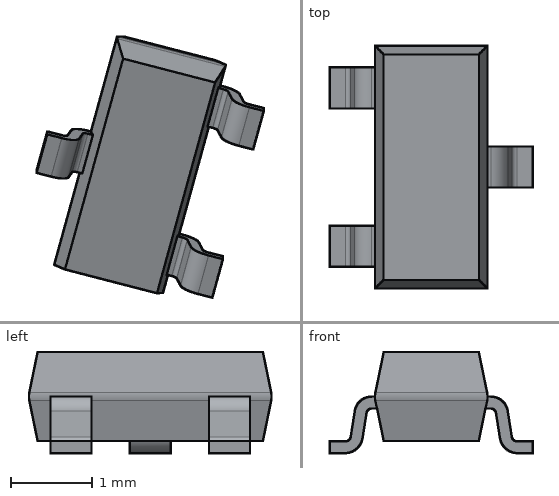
import cadquery as cq
import math

body_length = 2.99
body_width = 1.387
taper_angle = 11.6
body_bottom = 0.15
band_bottom = 0.65
band_top = 0.75
body_top = 1.25

lead_span = 2.5
lead_width = 0.508
lead_thickness = 0.15
lead_top = 0.7
leg_center_x = 0.895
leg_tilt = 9.0
inner_bend_radius = 0.063
outer_bend_radius = inner_bend_radius + lead_thickness
foot_outer_radius = 0.225
shoulder_overlap = 0.09
lead_pitch = 1.95


def make_prism(plane, span, length):
    """Prism with tapered sides and bulged bands, centred on its extrusion axis."""
    taper = math.radians(taper_angle)
    bulge = (band_top - band_bottom) / 2 * math.tan(taper / 2)
    half_span = span / 2
    band_x = half_span - bulge
    band_middle = (band_bottom + band_top) / 2
    top_x = band_x - (body_top - band_top) * math.tan(taper)
    bottom_x = band_x - (band_bottom - body_bottom) * math.tan(taper)
    return (
        cq.Workplane(plane)
        .moveTo(-bottom_x, body_bottom)
        .lineTo(bottom_x, body_bottom)
        .lineTo(band_x, band_bottom)
        .threePointArc((half_span, band_middle), (band_x, band_top))
        .lineTo(top_x, body_top)
        .lineTo(-top_x, body_top)
        .lineTo(-band_x, band_top)
        .threePointArc((-half_span, band_middle), (-band_x, band_bottom))
        .close()
        .extrude(length / 2, both=True)
    )


def make_housing():
    """Two crossed prisms leave mitred corners and a taper on all four sides."""
    across = make_prism("XZ", body_width, body_length)
    along = make_prism("YZ", body_length, body_width)
    return across.intersect(along).solids()


def leg_face_x(z, side):
    """X of a leg face at height z; side is -1 for the outer face, +1 for the inner."""
    tilt = math.radians(leg_tilt)
    half_thickness = lead_thickness / (2 * math.cos(tilt))
    return -leg_center_x + (z - lead_top / 2) * math.tan(tilt) + side * half_thickness


def make_lead(y, housing):
    """Lead on the -X side, trimmed where it meets the housing wall."""
    shoulder_bottom = lead_top - lead_thickness
    shoulder_end = -body_width / 2 + shoulder_overlap
    outline = [
        (-lead_span / 2, 0),
        (leg_face_x(0, 1), 0),
        (leg_face_x(shoulder_bottom, 1), shoulder_bottom),
        (shoulder_end, shoulder_bottom),
        (shoulder_end, lead_top),
        (leg_face_x(lead_top, -1), lead_top),
        (leg_face_x(lead_thickness, -1), lead_thickness),
        (-lead_span / 2, lead_thickness),
    ]
    blank = (
        cq.Workplane("XZ", origin=(0, y + lead_width / 2, 0))
        .polyline(outline)
        .close()
        .extrude(lead_width)
    )

    def bend_edge(x, z):
        return cq.selectors.NearestToPointSelector((x, y, z))

    for z, side, radius in (
        (0, 1, foot_outer_radius),
        (shoulder_bottom, 1, inner_bend_radius),
        (lead_top, -1, outer_bend_radius),
        (lead_thickness, -1, inner_bend_radius),
    ):
        blank = blank.edges("|Y").edges(bend_edge(leg_face_x(z, side), z)).fillet(radius)
    return blank.cut(housing).solids()


housing = make_housing()
leads = [make_lead(y, housing) for y in (-lead_pitch / 2, lead_pitch / 2)]
leads.append(make_lead(0, housing).rotate((0, 0, 0), (0, 0, 1), 180))

result = cq.Compound.makeCompound([housing.val(), *[lead.val() for lead in leads]])